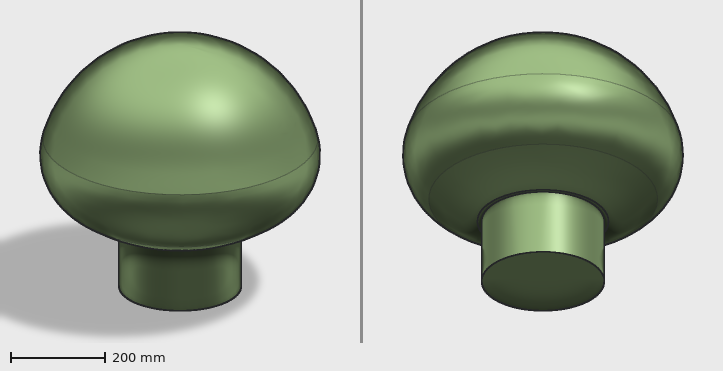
import cadquery as cq
import math

TOTAL_HEIGHT = 561.0
CAP_RADIUS = 297.5
STEM_RADIUS = 130.0
STEM_HEIGHT = 145.0

DOME_ARC = 304.5
RIM_ARC = 131.0
UNDERSIDE_ARC = 416.5

rim_centre_r = CAP_RADIUS - RIM_ARC
dome_centre_z = TOTAL_HEIGHT - DOME_ARC
rim_centre_z = dome_centre_z + math.sqrt((DOME_ARC - RIM_ARC) ** 2 - rim_centre_r**2)
underside_centre_z = rim_centre_z + math.sqrt((UNDERSIDE_ARC - RIM_ARC) ** 2 - rim_centre_r**2)


def angle_through_rim_centre(centre_z):
    """Angle above horizontal from an axis point to the rim arc's centre."""
    return math.atan2(rim_centre_z - centre_z, rim_centre_r)


def arc_point(centre_z, radius, angle):
    """Profile point (r, z) on an arc centred on the Z axis."""
    return radius * math.cos(angle), centre_z + radius * math.sin(angle)


def make_cap():
    """Mushroom-shaped cap with a flat base resting on the stem."""
    top_angle = math.pi / 2
    dome_end_angle = angle_through_rim_centre(dome_centre_z)
    underside_start_angle = angle_through_rim_centre(underside_centre_z)
    base_angle = math.asin((STEM_HEIGHT - underside_centre_z) / UNDERSIDE_ARC)

    dome_mid = arc_point(dome_centre_z, DOME_ARC, (top_angle + dome_end_angle) / 2)
    dome_end = arc_point(dome_centre_z, DOME_ARC, dome_end_angle)
    rim_mid = (CAP_RADIUS, rim_centre_z)
    rim_end = arc_point(underside_centre_z, UNDERSIDE_ARC, underside_start_angle)
    underside_mid_angle = (underside_start_angle + base_angle) / 2
    underside_mid = arc_point(underside_centre_z, UNDERSIDE_ARC, underside_mid_angle)
    base_edge = arc_point(underside_centre_z, UNDERSIDE_ARC, base_angle)

    return (
        cq.Workplane("XZ")
        .moveTo(0, TOTAL_HEIGHT)
        .threePointArc(dome_mid, dome_end)
        .threePointArc(rim_mid, rim_end)
        .threePointArc(underside_mid, base_edge)
        .lineTo(0, STEM_HEIGHT)
        .close()
        .revolve(360, (0, 0, 0), (0, 1, 0))
    )


def make_stem():
    """Plain round stem standing on the XY plane."""
    return cq.Workplane("XY").circle(STEM_RADIUS).extrude(STEM_HEIGHT)


cap = make_cap()
stem = make_stem()

result = cq.Compound.makeCompound([cap.val(), stem.val()])